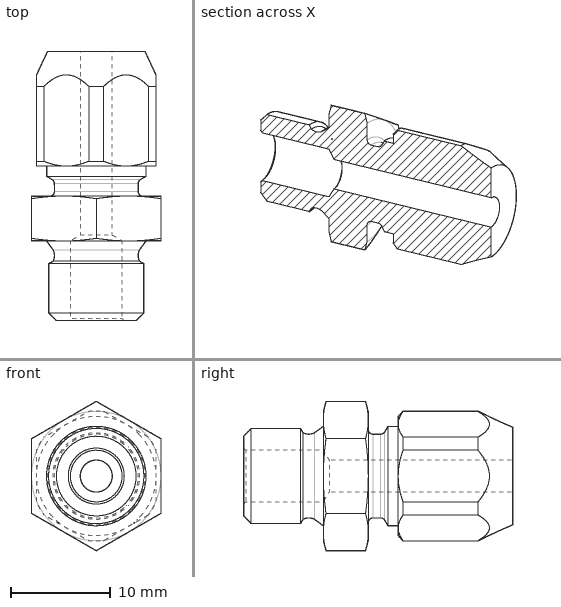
import cadquery as cq
import math

length = 27.0

spigot_radius = 4.78
spigot_chamfer_length = 0.75
spigot_tip_radius = 4.0
spigot_end = 5.72
neck_radius = 4.2
groove_edge_radius = 4.35
front_flank_run = 0.25
front_shoulder_run = 0.9

hex_flats = 13.0
hex_start = 8.0
hex_end = 12.5
hex_chamfer_angle = 15

collar_radius = 5.0
collar_start = 14.47
collar_flank_run = 0.45
rear_neck_fillet = 0.45

nut_flats = 12.0
nut_start = 15.5
nut_corner_radius = 6.53
nut_chamfer_length = 0.49
nut_taper_length = 3.5
nut_taper_angle = 25

through_radius = 1.6
bore_radius = 2.6
bore_mouth_radius = 2.8
bore_depth = hex_start
drill_point_angle = 118


def revolve_about_y(points):
    """Revolve (radius, y) points, closed along the axis, about Y."""
    axis_points = [(0, points[0][1])] + points + [(0, points[-1][1])]
    profile = cq.Workplane("XY").polyline(axis_points).close()
    return profile.revolve(360, (0, 0, 0), (0, 1, 0))


def hex_prism(flats, start, end):
    """Hexagonal bar along Y with corners on the Z axis."""
    corner_radius = flats / math.sqrt(3)
    corners = []
    for index in range(6):
        angle = math.radians(30 + 60 * index)
        corners.append((corner_radius * math.cos(angle), corner_radius * math.sin(angle)))
    bar = cq.Workplane("XZ").polyline(corners).close().extrude(start - end)
    return bar.translate((0, start, 0))


def neck_edges(body, start, end):
    """Circular edges at the two ends of a neck."""
    tolerance = 0.003
    return body.edges(
        cq.selectors.BoxSelector(
            (-neck_radius - tolerance, start - tolerance, -neck_radius - tolerance),
            (neck_radius + tolerance, end + tolerance, neck_radius + tolerance),
            boundingbox=True,
        )
    ).edges("%CIRCLE")


def make_spigot():
    groove_start = spigot_end + front_flank_run
    groove_end = hex_start - front_shoulder_run
    groove_middle = (groove_start + groove_end) / 2
    profile = (
        cq.Workplane("XY")
        .lineTo(spigot_tip_radius, 0)
        .lineTo(spigot_radius, spigot_chamfer_length)
        .lineTo(spigot_radius, spigot_end)
        .lineTo(groove_edge_radius, groove_start)
        .threePointArc((neck_radius, groove_middle), (groove_edge_radius, groove_end))
        .lineTo(collar_radius, hex_start)
        .lineTo(0, hex_start)
        .close()
    )
    return profile.revolve(360, (0, 0, 0), (0, 1, 0))


def make_collar():
    neck_end = collar_start - collar_flank_run
    collar = revolve_about_y([
        (collar_radius, hex_start),
        (collar_radius, hex_end),
        (neck_radius, hex_end),
        (neck_radius, neck_end),
        (collar_radius, collar_start),
        (collar_radius, nut_start),
    ])
    return neck_edges(collar, hex_end, neck_end).fillet(rear_neck_fillet)


def make_hexagon():
    face_radius = hex_flats / 2
    corner_radius = hex_flats / math.sqrt(3)
    chamfer_length = (corner_radius - face_radius) * math.tan(math.radians(hex_chamfer_angle))
    envelope = revolve_about_y([
        (face_radius, hex_start),
        (corner_radius, hex_start + chamfer_length),
        (corner_radius, hex_end - chamfer_length),
        (face_radius, hex_end),
    ])
    return hex_prism(hex_flats, hex_start, hex_end).intersect(envelope)


def make_nut():
    tip_radius = nut_corner_radius - nut_taper_length * math.tan(math.radians(nut_taper_angle))
    envelope = revolve_about_y([
        (nut_flats / 2, nut_start),
        (nut_corner_radius, nut_start + nut_chamfer_length),
        (nut_corner_radius, length - nut_taper_length),
        (tip_radius, length),
    ])
    return hex_prism(nut_flats, nut_start, length).intersect(envelope)


def make_bore():
    mouth_depth = bore_mouth_radius - bore_radius
    point_length = (bore_radius - through_radius) / math.tan(math.radians(drill_point_angle / 2))
    return revolve_about_y([
        (bore_mouth_radius, 0),
        (bore_radius, mouth_depth),
        (bore_radius, bore_depth),
        (through_radius, bore_depth + point_length),
        (through_radius, length),
    ])


body = make_spigot().union(make_hexagon()).union(make_collar()).union(make_nut())
result = body.cut(make_bore())